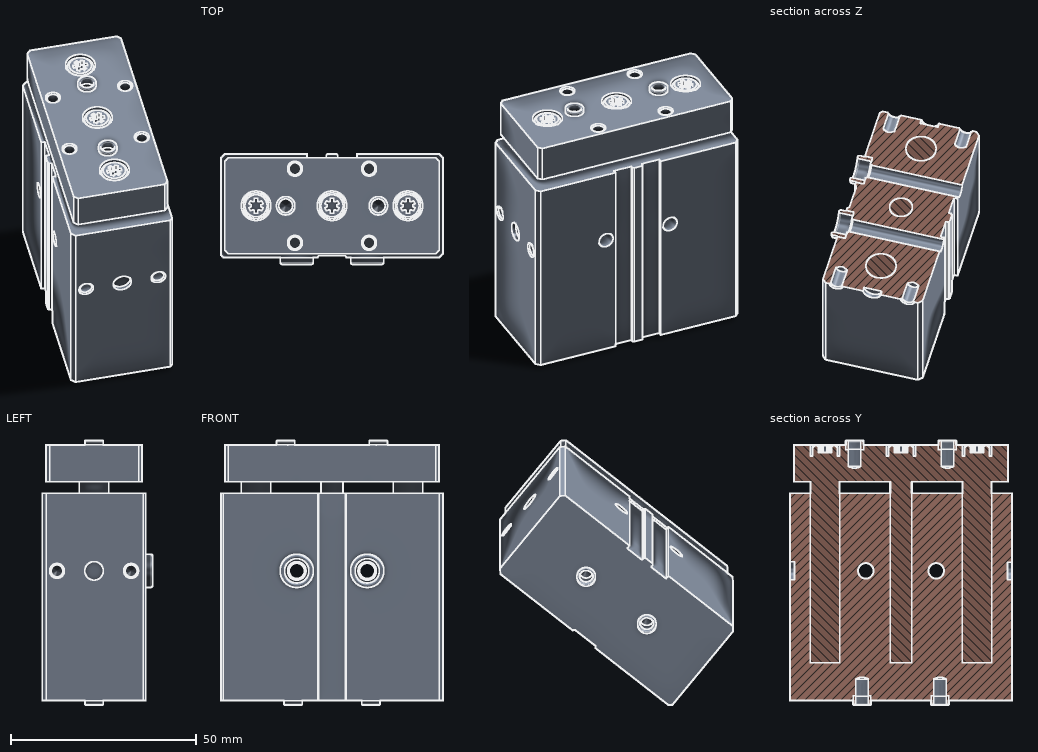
import cadquery as cq
import math


housing_width = 60.0
housing_depth = 28.0
housing_height = 56.0
housing_left_front_chamfer = 0.7
housing_chamfer = 1.1
port_z = 35.0

channel_width = 7.8
channel_depth = 0.5
channel_side_slope = 0.3
recess_width = 13.4
recess_depth = 1.0
rib_width = 3.15
rib_chamfer = 0.35

yoke_gap = 3.0
yoke_width = 57.8
yoke_depth = 26.0
yoke_thickness = 10.0
yoke_chamfer = 1.0
yoke_bottom = housing_height + yoke_gap
yoke_top = yoke_bottom + yoke_thickness

guide_rod_diameter = 8.0
guide_rod_x = 20.5
piston_rod_diameter = 6.0
rod_engagement = 45.7
screw_head_diameter = 7.0
screw_head_chamfer = 0.5
screw_pocket_diameter = 8.0
screw_pocket_depth = 3.0
screw_head_drop = 0.2
socket_core_diameter = 2.65
socket_lobe_diameter = 3.9
socket_lobe_width = 0.9
socket_lobe_bars = 3
socket_depth = 1.8

thread_core_diameter = 3.2
thread_mouth_diameter = 4.0
thread_depth = 5.7
drill_point_angle = 118.0
thread_spacing = 20.0

port_x = 9.5
port_diameter = 4.15
port_mouth_diameter = 5.0

sleeve_diameter = 5.0
sleeve_bore = 3.7
sleeve_seat_depth = 1.2
sleeve_protrusion = 1.2
top_sleeve_x = 12.5
bottom_sleeve_x = 10.5

port_sleeve_diameter = 9.0
port_sleeve_bore = 6.6
port_sleeve_seat_depth = 2.15
port_sleeve_protrusion = 1.85

UP = cq.Vector(0, 0, 1)
DOWN = cq.Vector(0, 0, -1)
LEFT = cq.Vector(-1, 0, 0)
RIGHT = cq.Vector(1, 0, 0)
FRONT = cq.Vector(0, -1, 0)
BACK = cq.Vector(0, 1, 0)

ROD_PLACES = [
    (-guide_rod_x, guide_rod_diameter),
    (0, piston_rod_diameter),
    (guide_rod_x, guide_rod_diameter),
]


def cylinder(diameter, length, start, direction):
    """Cylinder that runs from the point `start` along `direction`."""
    return cq.Workplane(cq.Solid.makeCylinder(diameter / 2, length, cq.Vector(*start), direction))


def cone(start_diameter, end_diameter, length, start, direction):
    """Cone between two diameters that runs from the point `start` along `direction`."""
    return cq.Workplane(
        cq.Solid.makeCone(start_diameter / 2, end_diameter / 2, length, cq.Vector(*start), direction)
    )


def mouth_cone(mouth_diameter, bore_diameter, start, direction):
    """Cutter for a 45 degree countersink at the mouth of a hole."""
    return cone(mouth_diameter, bore_diameter, (mouth_diameter - bore_diameter) / 2, start, direction)


def blind_thread_hole(diameter, start, direction):
    """Cutter for a threaded hole that ends in a drill point."""
    point_length = diameter / 2 / math.tan(math.radians(drill_point_angle / 2))
    point_start = cq.Vector(*start) + direction * thread_depth
    shaft = cylinder(diameter, thread_depth, start, direction)
    return shaft.union(cone(diameter, 0, point_length, point_start.toTuple(), direction))


def sleeve_hole(start, direction):
    """Cutter for a sleeve seat with a threaded hole, as wide as the sleeve bore, in its floor."""
    seat = cylinder(sleeve_diameter, sleeve_seat_depth, start, direction)
    return seat.union(blind_thread_hole(sleeve_bore, start, direction))


def make_sleeve(face_point, outward, diameter, bore, seat_depth, protrusion):
    """Sleeve seated in a face, with the outer end of its wall fully rounded."""
    outer_radius = diameter / 2
    inner_radius = bore / 2
    end_radius = (outer_radius - inner_radius) / 2
    straight_end = protrusion - end_radius
    profile_plane = cq.Plane(origin=face_point, xDir=LEFT.toTuple(), normal=LEFT.cross(outward).toTuple())
    return (
        cq.Workplane(profile_plane)
        .moveTo(inner_radius, -seat_depth)
        .lineTo(outer_radius, -seat_depth)
        .lineTo(outer_radius, straight_end)
        .threePointArc((inner_radius + end_radius, protrusion), (inner_radius, straight_end))
        .close()
        .revolve(360, (0, 0), (0, 1))
    )


def make_small_sleeve(face_point, outward):
    return make_sleeve(
        face_point, outward, sleeve_diameter, sleeve_bore,
        sleeve_seat_depth, sleeve_protrusion,
    )


def make_port_sleeve(face_point):
    return make_sleeve(
        face_point, FRONT, port_sleeve_diameter, port_sleeve_bore,
        port_sleeve_seat_depth, port_sleeve_protrusion,
    )


def make_housing_block():
    """Block with chamfered uprights, a front channel, and a back recess with a rib."""
    front_y = -housing_depth / 2
    back_y = housing_depth / 2
    block = cq.Workplane().box(housing_width, housing_depth, housing_height, centered=(True, True, False))
    block = block.edges("|Z and <Y and <X").chamfer(housing_left_front_chamfer)
    block = block.edges("|Z and (>Y or >X)").chamfer(housing_chamfer)

    floor_half_width = channel_width / 2 - channel_side_slope
    channel = (
        cq.Workplane()
        .moveTo(-channel_width / 2, front_y)
        .lineTo(-floor_half_width, front_y + channel_depth)
        .lineTo(floor_half_width, front_y + channel_depth)
        .lineTo(channel_width / 2, front_y)
        .close()
        .extrude(housing_height)
    )

    recess_y = back_y - recess_depth / 2
    recess = cq.Workplane().center(0, recess_y).rect(recess_width, recess_depth).extrude(housing_height)
    rib = cq.Workplane().center(0, recess_y).rect(rib_width, recess_depth).extrude(housing_height)
    rib = rib.edges("|Z and >Y").chamfer(rib_chamfer)
    return block.cut(channel).cut(recess).union(rib)


def make_housing():
    housing = make_housing_block()

    for x, diameter in ROD_PLACES:
        housing = housing.cut(cylinder(diameter, rod_engagement, (x, 0, housing_height), DOWN))

    for x in (-port_x, port_x):
        face_point = (x, -housing_depth / 2, port_z)
        floor_point = (x, -housing_depth / 2 + port_sleeve_seat_depth, port_z)
        housing = housing.cut(cylinder(port_diameter, housing_depth, face_point, BACK))
        housing = housing.cut(cylinder(port_sleeve_diameter, port_sleeve_seat_depth, face_point, BACK))
        housing = housing.cut(mouth_cone(port_mouth_diameter, port_diameter, floor_point, BACK))

    for x, inward in ((-housing_width / 2, RIGHT), (housing_width / 2, LEFT)):
        housing = housing.cut(cylinder(sleeve_diameter, sleeve_seat_depth, (x, 0, port_z), inward))
        for y in (-thread_spacing / 2, thread_spacing / 2):
            start = (x, y, port_z)
            housing = housing.cut(blind_thread_hole(thread_core_diameter, start, inward))
            housing = housing.cut(mouth_cone(thread_mouth_diameter, thread_core_diameter, start, inward))

    for x in (-bottom_sleeve_x, bottom_sleeve_x):
        housing = housing.cut(sleeve_hole((x, 0, 0), UP))
    return housing


def make_screw_head(x):
    """Screw head with a six-lobed socket, standing on the floor of its pocket."""
    face_z = yoke_top - screw_head_drop
    head_height = screw_pocket_depth - screw_head_drop
    head = cylinder(screw_head_diameter, head_height, (x, 0, face_z), DOWN)
    head = head.faces(">Z").edges().chamfer(screw_head_chamfer)

    head = head.cut(cylinder(socket_core_diameter, socket_depth, (x, 0, face_z), DOWN))
    for index in range(socket_lobe_bars):
        bar = (
            cq.Workplane()
            .rect(socket_lobe_width, socket_lobe_diameter)
            .extrude(-socket_depth)
            .rotate((0, 0, 0), (0, 0, 1), index * 180 / socket_lobe_bars)
            .translate((x, 0, face_z))
        )
        head = head.cut(bar)
    return head


def make_yoke():
    """Moving unit: plate, three rods and the heads of the screws that join them."""
    yoke = (
        cq.Workplane()
        .box(yoke_width, yoke_depth, yoke_thickness, centered=(True, True, False))
        .edges("|Z")
        .chamfer(yoke_chamfer)
        .translate((0, 0, yoke_bottom))
    )

    for x, diameter in ROD_PLACES:
        yoke = yoke.cut(cylinder(screw_pocket_diameter, screw_pocket_depth, (x, 0, yoke_top), DOWN))
        yoke = yoke.union(make_screw_head(x))
        yoke = yoke.union(cylinder(diameter, yoke_gap + rod_engagement, (x, 0, yoke_bottom), DOWN))

    for x in (-thread_spacing / 2, thread_spacing / 2):
        for y in (-thread_spacing / 2, thread_spacing / 2):
            start = (x, y, yoke_top)
            yoke = yoke.cut(cylinder(thread_core_diameter, yoke_thickness, start, DOWN))
            yoke = yoke.cut(mouth_cone(thread_mouth_diameter, thread_core_diameter, start, DOWN))

    for x in (-top_sleeve_x, top_sleeve_x):
        yoke = yoke.cut(sleeve_hole((x, 0, yoke_top), DOWN))
    return yoke


housing = make_housing()
yoke = make_yoke()
top_sleeves = [make_small_sleeve((x, 0, yoke_top), UP) for x in (-top_sleeve_x, top_sleeve_x)]
bottom_sleeves = [make_small_sleeve((x, 0, 0), DOWN) for x in (-bottom_sleeve_x, bottom_sleeve_x)]
port_sleeves = [make_port_sleeve((x, -housing_depth / 2, port_z)) for x in (-port_x, port_x)]

bodies = [housing, yoke, *top_sleeves, *bottom_sleeves, *port_sleeves]
result = cq.Compound.makeCompound([body.val() for body in bodies])